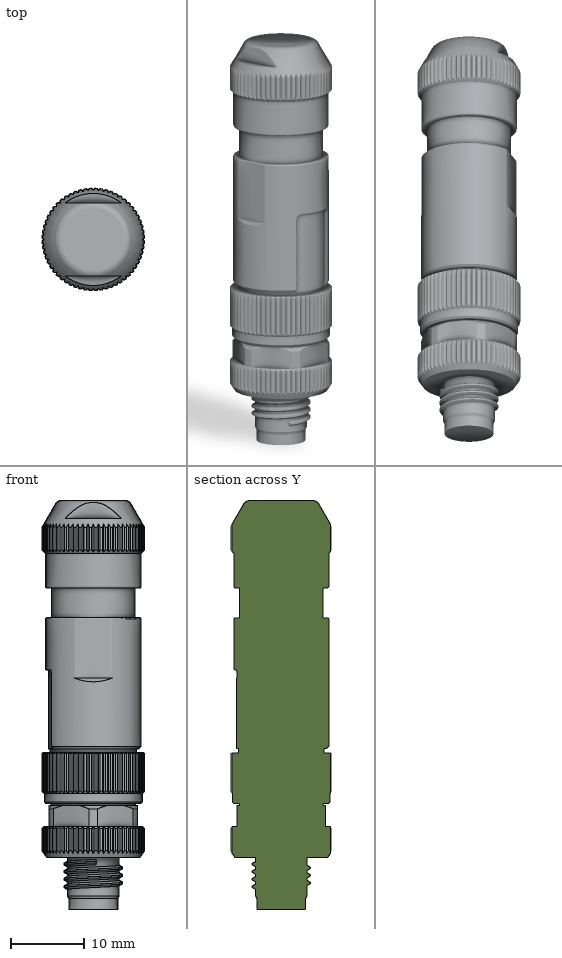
import cadquery as cq
import math


total_height = 55.9

knurl_radius = 7.0
groove_count = 60
groove_depth = 0.25
groove_width = 0.42

tip_radius = 3.35
tip_top = 1.5
thread_root_radius = 3.53
thread_root_bottom = 1.85
thread_crest_radius = 4.02
thread_pitch = 1.03
thread_base_width = 0.75
thread_crest_width = 0.2
thread_turns = 3.35
thread_start_angle = 150.0
thread_start_z = 3.04
thread_sink = 0.15

nut_bottom = 7.1
nut_chamfer = 0.65
nut_chamfer_height = 0.95
nut_knurl_top = 11.36
nut_top_chamfer = 0.3
hex_across_flats = 12.1
hex_corner_radius = 6.66
hex_top = 14.25
hex_chamfer = 0.5
hex_sector = 60.0
neck_radius = 5.75

collar_bottom = 14.47
collar_radius = 6.7
collar_chamfer = 0.25
band_bottom = 15.87
band_top = 21.45
band_bottom_chamfer = knurl_radius - collar_radius
band_top_chamfer = 0.15

sleeve_radius = 6.53
throat_radius = 5.9
sleeve_bottom = 21.95
sleeve_top = 39.86
sleeve_bottom_chamfer = 0.35
sleeve_top_fillet = 0.2

wrench_flat_offset = 6.04
wrench_flat_bottom = 31.6
wrench_edge_fillet = 0.7

recess_floor_radius = 6.12
recess_width = 5.96
recess_top = 32.72
recess_corner_radius = 0.6
recess_fillet = 0.18

gland_radius = 5.72
skirt_bottom = 43.9
skirt_fillet = 0.25
cap_bottom = 48.65
cap_bottom_chamfer = knurl_radius - sleeve_radius
cap_knurl_top = 52.2
cap_cone_angle = 60.0
cap_top_fillet = 1.0
cap_flat_offset = 5.0
cap_flat_bottom = 53.43


def cylinder(radius, bottom, top):
    return cq.Workplane("XY").workplane(offset=bottom).circle(radius).extrude(top - bottom)


def knurled(body, bottom, top):
    """Cut evenly spaced V grooves, one on each axis, between two heights."""
    half_width = groove_width / 2
    rim = math.sqrt(knurl_radius**2 - half_width**2)
    overshoot = 0.2
    mouth = half_width * (groove_depth + overshoot) / groove_depth
    root = rim - groove_depth
    grooves = (
        cq.Workplane("XY")
        .workplane(offset=bottom)
        .polarArray(0, 0, 360, groove_count)
        .eachpoint(
            lambda place: cq.Workplane("XY")
            .polyline([(root, 0), (rim + overshoot, mouth), (rim + overshoot, -mouth)])
            .close()
            .extrude(top - bottom)
            .val()
            .moved(place)
        )
    )
    return body.cut(grooves)


def plug():
    """Tip and thread core, with a short cone between their two radii."""
    return (
        cq.Workplane("XZ")
        .moveTo(0, 0)
        .lineTo(tip_radius, 0)
        .lineTo(tip_radius, tip_top)
        .lineTo(thread_root_radius, thread_root_bottom)
        .lineTo(thread_root_radius, nut_bottom)
        .lineTo(0, nut_bottom)
        .close()
        .revolve(360, (0, 0, 0), (0, 1, 0))
    )


def thread():
    """Right-hand trapezoidal ridge, sunk slightly into the core."""
    inner_radius = thread_root_radius - thread_sink
    helix = cq.Wire.makeHelix(thread_pitch, thread_pitch * thread_turns, inner_radius)
    ridge = (
        cq.Workplane("XZ")
        .polyline(
            [
                (inner_radius, -thread_base_width / 2),
                (thread_root_radius, -thread_base_width / 2),
                (thread_crest_radius, -thread_crest_width / 2),
                (thread_crest_radius, thread_crest_width / 2),
                (thread_root_radius, thread_base_width / 2),
                (inner_radius, thread_base_width / 2),
            ]
        )
        .close()
        .sweep(cq.Workplane(helix), isFrenet=True)
    )
    return ridge.rotate((0, 0, 0), (0, 0, 1), thread_start_angle).translate((0, 0, thread_start_z))


def coupling_nut():
    ring = (
        cylinder(knurl_radius, nut_bottom, nut_knurl_top)
        .faces(">Z")
        .chamfer(nut_top_chamfer)
        .faces("<Z")
        .chamfer(nut_chamfer_height, nut_chamfer)
    )
    ring = knurled(ring, nut_bottom, nut_knurl_top)
    corner_diameter = hex_across_flats / math.cos(math.radians(hex_sector / 2))
    hexagon = (
        cq.Workplane("XY")
        .workplane(offset=nut_bottom + nut_chamfer_height)
        .polygon(6, corner_diameter)
        .extrude(hex_top - nut_bottom - nut_chamfer_height)
        .rotate((0, 0, 0), (0, 0, 1), hex_sector / 2)
    )
    envelope = cylinder(hex_corner_radius, nut_bottom, hex_top).faces(">Z").chamfer(hex_chamfer)
    return ring.union(hexagon.intersect(envelope))


def middle_band():
    collar = cylinder(collar_radius, collar_bottom, band_bottom).faces("<Z").chamfer(collar_chamfer)
    band = (
        cylinder(knurl_radius, band_bottom, band_top)
        .faces(">Z")
        .chamfer(band_top_chamfer)
        .faces("<Z")
        .chamfer(band_bottom_chamfer)
    )
    return knurled(band, band_bottom, band_top).union(collar)


def wrench_flat():
    """Material removed for the +Y flat; its lower end slopes outwards at 45 degrees."""
    clearance = 1.0
    depth = sleeve_radius - wrench_flat_offset + clearance
    return (
        cq.Workplane("YZ")
        .moveTo(wrench_flat_offset, sleeve_top)
        .lineTo(wrench_flat_offset, wrench_flat_bottom)
        .lineTo(wrench_flat_offset + depth, wrench_flat_bottom - depth)
        .lineTo(wrench_flat_offset + depth, sleeve_top)
        .close()
        .extrude(sleeve_radius, both=True)
    )


def is_recess_rim(edge):
    """True for an edge of the label recess that lies on the sleeve's outer surface."""
    middle = edge.positionAt(0.5)
    tolerance = 0.01
    return (
        abs(math.hypot(middle.x, middle.y) - sleeve_radius) < tolerance
        and middle.x < 0
        and abs(middle.y) < recess_width / 2 + tolerance
        and sleeve_bottom + sleeve_bottom_chamfer + tolerance < middle.z < recess_top + tolerance
    )


def cut_label_recess(body):
    """Cut a recess with a cylindrical floor, open at the sleeve's lower end, and round its edges."""
    height = 2 * (recess_top - sleeve_bottom)
    cutter = (
        cq.Workplane("YZ")
        .workplane(offset=-knurl_radius)
        .center(0, sleeve_bottom)
        .rect(recess_width, height)
        .extrude(knurl_radius)
        .edges("|X")
        .fillet(recess_corner_radius)
        .cut(cylinder(recess_floor_radius, sleeve_bottom - height, sleeve_top))
        .faces(">X")
        .edges()
        .fillet(recess_fillet)
    )
    return body.cut(cutter).edges().filter(is_recess_rim).fillet(recess_fillet)


def sleeve():
    body = cylinder(sleeve_radius, sleeve_bottom, sleeve_top)
    flat = wrench_flat()
    body = body.cut(flat).cut(flat.mirror("XZ"))
    half_chord = math.sqrt(sleeve_radius**2 - wrench_flat_offset**2)
    reach = 0.1
    for x in (-half_chord, half_chord):
        for y in (-wrench_flat_offset, wrench_flat_offset):
            near_edge = cq.selectors.BoxSelector(
                (x - reach, y - reach, wrench_flat_bottom),
                (x + reach, y + reach, sleeve_top),
            )
            body = body.edges("|Z").edges(near_edge).fillet(wrench_edge_fillet)
    body = body.faces(">Z").edges().fillet(sleeve_top_fillet)
    body = body.faces("<Z").chamfer(sleeve_bottom_chamfer)
    return cut_label_recess(body)


def gland_cap():
    skirt = cylinder(sleeve_radius, skirt_bottom, cap_bottom).faces("<Z").edges().fillet(skirt_fillet)
    rise = total_height - cap_knurl_top
    top_radius = knurl_radius - rise / math.tan(math.radians(cap_cone_angle))
    head = (
        cq.Workplane("XZ")
        .moveTo(0, cap_bottom)
        .lineTo(knurl_radius - cap_bottom_chamfer, cap_bottom)
        .lineTo(knurl_radius, cap_bottom + cap_bottom_chamfer)
        .lineTo(knurl_radius, cap_knurl_top)
        .lineTo(top_radius, total_height)
        .lineTo(0, total_height)
        .close()
        .revolve(360, (0, 0, 0), (0, 1, 0))
        .faces(">Z")
        .edges()
        .fillet(cap_top_fillet)
    )
    head = knurled(head, cap_bottom, total_height)
    flat_depth = knurl_radius - cap_flat_offset
    for side in (-1, 1):
        flat = cq.Workplane("XY").box(
            2 * knurl_radius, flat_depth, total_height - cap_flat_bottom, centered=(True, True, False)
        )
        head = head.cut(flat.translate((0, side * (cap_flat_offset + flat_depth / 2), cap_flat_bottom)))
    return head.union(skirt)


result = (
    plug()
    .union(thread())
    .union(coupling_nut())
    .union(cylinder(neck_radius, nut_bottom, band_bottom))
    .union(middle_band())
    .union(cylinder(throat_radius, band_bottom, sleeve_bottom))
    .union(sleeve())
    .union(cylinder(gland_radius, sleeve_bottom, cap_bottom))
    .union(gland_cap())
)